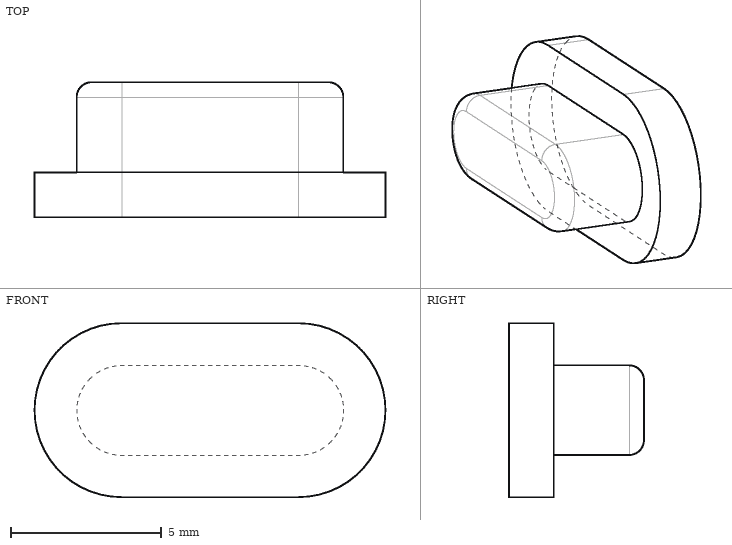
import cadquery as cq

flange_length = 11.7
flange_height = 5.8
flange_thickness = 1.5

boss_height = 3.0
total_depth = 4.5
boss_edge_radius = 0.5

arc_center_distance = flange_length - flange_height
boss_length = arc_center_distance + boss_height


def stadium(length, height, depth):
    """Stadium centred on the Y axis, extending from Y = 0 to Y = depth."""
    return cq.Workplane("XZ").slot2D(length, height).extrude(-depth)


flange = stadium(flange_length, flange_height, flange_thickness)

boss = stadium(boss_length, boss_height, total_depth)
boss = boss.faces(">Y").edges().fillet(boss_edge_radius)

result = flange.union(boss)